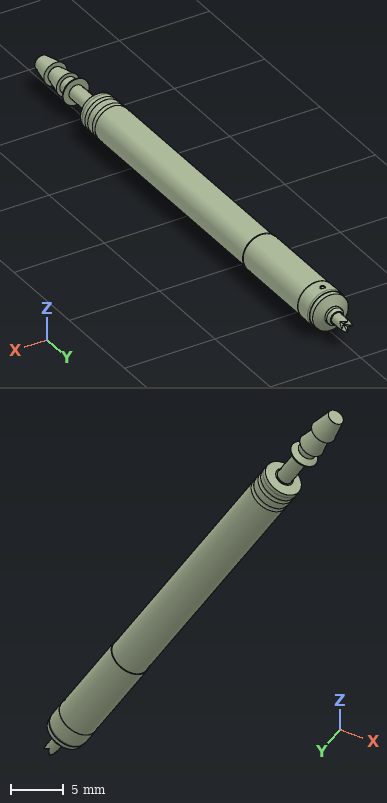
import cadquery as cq
import math

total_length = 55.2
tip_y = total_length / 2

plunger_dia = 1.2
plunger_end = 1.9
crown_depth = 0.65
crown_groove_width = plunger_dia * math.sin(math.radians(45))
crown_groove_angles = [45, 135]

nose_start_dia = 1.45
nose_ring_dia = 1.9
nose_ring_start = 2.2
nose_ring_end = 2.55
body_dia = 4.0
nose_cone_end = 3.05

collar_dia = 4.2
collar_start = 3.55
collar_chamfer_dia = 4.1
collar_chamfer_end = 3.75
sleeve_dia = 4.15
sleeve_start = 5.6
sleeve_end = 15.55

dimple_dia = 0.5
dimple_depth = 0.1
dimple_station = 4.45

groove_depth = 0.085
groove_width = 0.5
groove_starts = [42.4, 43.7]
end_taper_start = 44.7
end_taper_dia = 3.9
body_end = 45.1
end_cone_end = 45.25
boss_dia = 1.9
boss_end = 45.3

stem_dia = 1.6
flange_dia = 2.9
flange_start = 49.0
flange_rim_end = 49.15
flange_end = 49.55
neck_dia = 1.8
barb_dia = 2.6
barb_tip_dia = 1.65
barb_starts = [50.5, 52.75]
barb_ends = [barb_starts[1], total_length]


def revolve_profile(stations):
    """Turn (station, diameter) pairs into a solid of revolution about Y."""
    first_station = stations[0][0]
    last_station = stations[-1][0]
    outline = [(0, tip_y - first_station)]
    outline += [(dia / 2, tip_y - station) for station, dia in stations]
    outline += [(0, tip_y - last_station)]
    return cq.Workplane("XY").polyline(outline).close().revolve(360, (0, 0, 0), (0, 1, 0))


def plunger_and_housing():
    return revolve_profile([
        (0, plunger_dia),
        (plunger_end, plunger_dia),
        (plunger_end, nose_start_dia),
        (nose_ring_start, nose_ring_dia),
        (nose_ring_end, nose_ring_dia),
        (nose_cone_end, body_dia),
        (collar_start, body_dia),
        (collar_start, collar_chamfer_dia),
        (collar_chamfer_end, collar_dia),
        (sleeve_start, collar_dia),
        (sleeve_start, sleeve_dia),
        (sleeve_end, sleeve_dia),
        (sleeve_end, body_dia),
        (end_taper_start, body_dia),
        (body_end, end_taper_dia),
        (end_cone_end, boss_dia),
        (boss_end, boss_dia),
    ])


def stem_and_barbs():
    profile = [
        (boss_end, stem_dia),
        (flange_start, stem_dia),
        (flange_start, flange_dia),
        (flange_rim_end, flange_dia),
        (flange_end, neck_dia),
        (barb_starts[0], neck_dia),
    ]
    for start, end in zip(barb_starts, barb_ends):
        profile += [(start, barb_dia), (end, barb_tip_dia)]
    return revolve_profile(profile)


def crimp_groove(start):
    """Shallow arc-shaped groove around the body."""
    surface = body_dia / 2
    near_y = tip_y - start
    far_y = near_y - groove_width
    mid_y = (near_y + far_y) / 2
    return (
        cq.Workplane("XY")
        .moveTo(surface, near_y)
        .threePointArc((surface - groove_depth, mid_y), (surface, far_y))
        .lineTo(surface + groove_depth, far_y)
        .lineTo(surface + groove_depth, near_y)
        .close()
        .revolve(360, (0, 0, 0), (0, 1, 0))
    )


def crown_groove(angle):
    """V groove across the plunger tip, turned about Y."""
    half_width = crown_groove_width / 2
    vee = (
        cq.Workplane("XY")
        .polyline([(-half_width, tip_y), (half_width, tip_y), (0, tip_y - crown_depth)])
        .close()
        .extrude(plunger_dia, both=True)
    )
    return vee.rotate((0, 0, 0), (0, 1, 0), angle)


def dimple():
    return (
        cq.Workplane("XY")
        .workplane(offset=collar_dia / 2 - dimple_depth)
        .center(0, tip_y - dimple_station)
        .circle(dimple_dia / 2)
        .extrude(2 * dimple_depth)
    )


result = plunger_and_housing().union(stem_and_barbs()).cut(dimple())
for groove_start in groove_starts:
    result = result.cut(crimp_groove(groove_start))
for groove_angle in crown_groove_angles:
    result = result.cut(crown_groove(groove_angle))